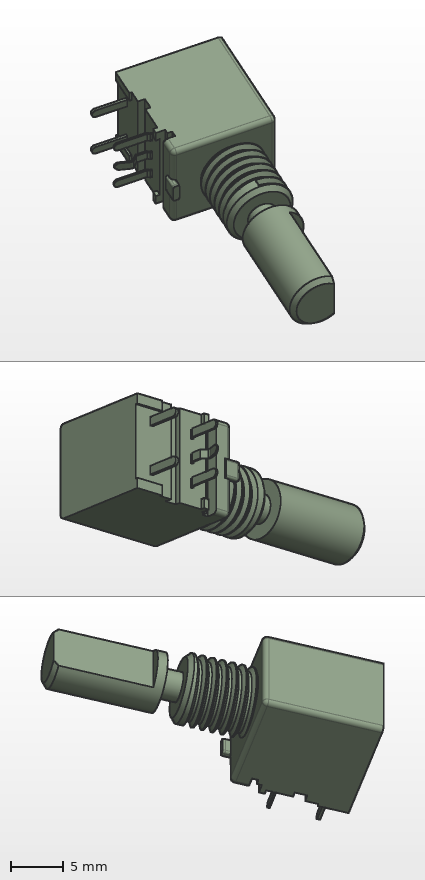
import cadquery as cq
import math


housing_width = 9.7
housing_half_width = housing_width / 2
front_face_x = 12.05
edge_radius = 0.5

foot_y = -6.5
rear_ledge_y = -6.25
front_ledge_y = -6.05
groove_y = -5.5
deep_groove_y = -5.0
flange_y = rear_ledge_y

rear_foot_end_x = 3.1
groove_start_x = 4.45
groove_end_x = 5.7
front_foot_start_x = 8.4
front_foot_end_x = 9.0
deep_groove_start_x = 9.5
flange_start_x = 10.15
foot_width = 1.05

tab_start_x = 11.2
tab_end_x = 12.85
tab_width = 2.0
tab_thickness = 0.75
tab_radius = 0.25
tab_taper_length = 0.25
tab_taper_depth = 0.05

pin_tip_y = -10.0
pin_width = 0.9
pin_tip_radius = 0.44
pin_spacing = 2.5
pin_root_y = deep_groove_y
rear_pin_x = 2.0
rear_pin_thickness = 0.3
front_pin_x = 7.0
front_pin_thickness = 0.2
crank_offset = 0.2
crank_start_y = -6.25
crank_end_y = foot_y
center_tip_chamfer = 0.33
barb_start_y = -7.65
barb_top_y = -8.2
barb_bottom_y = -8.5
barb_reach = 0.55
barb_tip_offset = 0.08

bushing_length = 7.0
bushing_end_x = front_face_x + bushing_length
bushing_radius = 3.5
bushing_chamfer = 0.5
thread_pitch = 1.0
thread_depth = 0.5
thread_root_flat = 0.3
thread_crest_flat = 0.12
thread_end_x = bushing_end_x - thread_pitch
thread_turns = 7
cut_overrun = 0.1

neck_radius = 1.5
exposed_neck_length = 2.0
head_radius = 3.0
head_length = 11.0
head_start_x = bushing_end_x + exposed_neck_length
head_end_x = head_start_x + head_length
head_chamfer = 0.5
collar_length = 1.0
flat_y = 1.5


def block(start_x, end_x, low_y, high_y, half_width):
    """Block between two X and two Y limits, centred on Z = 0."""
    center = ((start_x + end_x) / 2, (low_y + high_y) / 2, 0)
    return cq.Workplane("XY").box(end_x - start_x, high_y - low_y, 2 * half_width).translate(center)


def rod(start_x, end_x, radius):
    """Cylinder on the X axis."""
    return cq.Workplane("YZ", origin=(start_x, 0, 0)).circle(radius).extrude(end_x - start_x)


def cut_steps(case):
    """Step the pin side, leaving a foot in each corner of the rear part."""
    foot_inner = housing_half_width - foot_width
    steps = [
        (0, rear_foot_end_x, rear_ledge_y, foot_inner),
        (rear_foot_end_x, groove_start_x, rear_ledge_y, housing_half_width),
        (groove_start_x, groove_end_x, groove_y, housing_half_width),
        (groove_end_x, front_foot_start_x, front_ledge_y, housing_half_width),
        (front_foot_start_x, front_foot_end_x, front_ledge_y, foot_inner),
        (front_foot_end_x, deep_groove_start_x, groove_y, housing_half_width),
        (deep_groove_start_x, flange_start_x, deep_groove_y, housing_half_width),
    ]
    for start_x, end_x, step_y, half_width in steps:
        case = case.cut(block(start_x, end_x, foot_y, step_y, half_width))
    return case


def make_case():
    """Case with a front flange, rounded on the front face, the far side and the flange corners."""
    case = block(0, front_face_x, foot_y, housing_half_width, housing_half_width)
    case = case.cut(block(flange_start_x, front_face_x, foot_y, flange_y, housing_half_width))
    case = case.edges("|X and >Y").fillet(edge_radius)
    flange_corners = cq.selectors.BoxSelector(
        (flange_start_x, flange_y - cut_overrun, -housing_width),
        (front_face_x, flange_y + cut_overrun, housing_width),
    )
    case = case.edges("|X").edges(flange_corners).fillet(edge_radius)
    case = case.faces(">X").edges().fillet(edge_radius)
    return cut_steps(case)


def make_tab():
    """Rounded locating tab that reaches past the front face, slightly tapered at its end."""
    taper_start_x = tab_end_x - tab_taper_length
    taper_angle = math.degrees(math.atan(tab_taper_depth / tab_taper_length))
    tab = block(tab_start_x, taper_start_x, foot_y, foot_y + tab_thickness, tab_width / 2)
    tab = tab.edges("|X").fillet(tab_radius)
    tab_end = tab.faces(">X").wires().toPending().workplane()
    return tab_end.extrude(tab_taper_length, taper=taper_angle)


def make_strip(edge, thickness):
    """Flat strip whose -X side follows the points of edge, one pin width wide along Z."""
    other_edge = [(x + thickness, y) for x, y in reversed(edge)]
    outline = cq.Workplane("XY").polyline(edge + other_edge).close()
    return outline.extrude(pin_width / 2, both=True)


def round_tip(pin):
    """Round the end of a straight pin almost to a semicircle."""
    return pin.edges("|X and <Y").fillet(pin_tip_radius)


def make_rear_pin():
    side_x = rear_pin_x - rear_pin_thickness / 2
    return round_tip(make_strip([(side_x, pin_root_y), (side_x, pin_tip_y)], rear_pin_thickness))


front_pin_side_x = front_pin_x - front_pin_thickness / 2
front_pin_crank = [
    (front_pin_side_x + crank_offset, pin_root_y),
    (front_pin_side_x + crank_offset, crank_start_y),
    (front_pin_side_x, crank_end_y),
]


def make_front_pin():
    """Pin cranked where it leaves the housing."""
    return round_tip(make_strip(front_pin_crank + [(front_pin_side_x, pin_tip_y)], front_pin_thickness))


def make_center_pin():
    """Cranked pin bent out into a retaining barb, with a chamfered tip."""
    barb = [
        (front_pin_side_x, barb_start_y),
        (front_pin_side_x + barb_reach, barb_top_y),
        (front_pin_side_x + barb_reach, barb_bottom_y),
        (front_pin_side_x + barb_tip_offset, pin_tip_y),
    ]
    pin = make_strip(front_pin_crank + barb, front_pin_thickness)
    return pin.edges("|X and <Y").chamfer(center_tip_chamfer)


def make_housing():
    """Case, tab and all five pins as one body."""
    housing = make_case().union(make_tab()).union(make_center_pin())
    for pin_z in (-pin_spacing, pin_spacing):
        housing = housing.union(make_rear_pin().translate((0, 0, pin_z)))
        housing = housing.union(make_front_pin().translate((0, 0, pin_z)))
    return housing


def make_thread_groove():
    """Right-handed helical groove that ends on the +Z side of the bushing."""
    thread_length = thread_turns * thread_pitch
    root_radius = bushing_radius - thread_depth
    outer_radius = bushing_radius + cut_overrun
    root_half = thread_root_flat / 2
    crest_half = (thread_pitch - thread_crest_flat) / 2
    flank_slope = (crest_half - root_half) / thread_depth
    outer_half = crest_half + flank_slope * cut_overrun
    helix = cq.Wire.makeHelix(thread_pitch, thread_length, root_radius)
    profile = [
        (root_radius, -root_half),
        (outer_radius, -outer_half),
        (outer_radius, outer_half),
        (root_radius, root_half),
    ]
    groove = cq.Workplane("XZ").polyline(profile).close().sweep(cq.Workplane(obj=helix), isFrenet=True)
    groove = groove.rotate((0, 0, 0), (0, 1, 0), 90)
    groove = groove.rotate((0, 0, 0), (1, 0, 0), 180)
    return groove.translate((thread_end_x - thread_length, 0, 0))


def make_bushing():
    """Threaded sleeve seated on the front face, bored for the shaft neck."""
    bushing = rod(front_face_x, bushing_end_x, bushing_radius)
    bushing = bushing.faces(">X").chamfer(bushing_chamfer)
    bushing = bushing.cut(make_thread_groove())
    return bushing.cut(rod(front_face_x, bushing_end_x, neck_radius))


def make_shaft():
    """Neck in the bushing bore and a D-shaped head with a full round collar."""
    neck = rod(front_face_x, head_start_x, neck_radius)
    head = rod(head_start_x, head_end_x, head_radius).faces(">X").chamfer(head_chamfer)
    flat = block(head_start_x + collar_length, head_end_x, flat_y, head_radius, head_radius)
    return neck.union(head.cut(flat))


housing = make_housing()
bushing = make_bushing()
shaft = make_shaft()

result = cq.Compound.makeCompound([housing.val(), bushing.val(), shaft.val()])